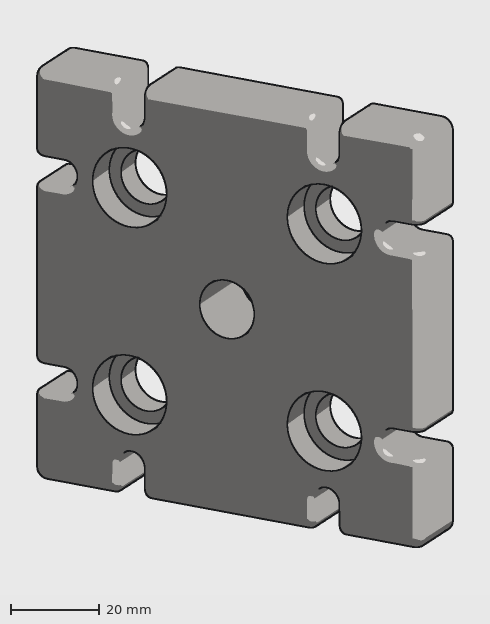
import cadquery as cq

side = 100.0
plate_thickness = 15.0
outer_round = 3.0

slot_width = 6.5
slot_depth = 11.0
slot_round = 1.5

pitch = 50.0
bolt_hole_diameter = 13.0
counterbore_diameter = 19.0
counterbore_depth = 8.0

boss_diameter = 23.4
boss_height = 5.0
boss_chamfer = 0.3
boss_foot_diameter = 24.0
boss_foot_height = 0.4
bore_diameter = 14.0

front_y = -plate_thickness
half_side = side / 2
half_pitch = pitch / 2
part_axis = [(0, 0)]
hole_places = [(x, z) for x in (-half_pitch, half_pitch) for z in (-half_pitch, half_pitch)]
quarter_turns = (0, 90, 180, 270)
tolerance = 0.01


def cylinders(places, diameter, start_y, end_y):
    """Cylinders along Y centred on the given (x, z) places."""
    return (
        cq.Workplane("XZ", origin=(0, start_y, 0))
        .pushPoints(places)
        .circle(diameter / 2)
        .extrude(start_y - end_y)
    )


def rounded_plate():
    """Plate with every outer edge rounded except those around the flat back."""
    plate = cq.Workplane("XY").box(side, plate_thickness, side).translate((0, front_y / 2, 0))
    return plate.edges("|Y or <Y").fillet(outer_round)


def slot_pair(angle):
    """The two slots of the top side, turned about Y to another side."""
    return (
        cq.Workplane("XZ")
        .pushPoints([(-half_pitch, half_side), (half_pitch, half_side)])
        .slot2D(2 * slot_depth, slot_width, 90)
        .extrude(plate_thickness)
        .rotate((0, 0, 0), (0, 1, 0), angle)
    )


def is_slot_rim(edge):
    """True where a slot wall meets the front or a side of the plate, but not the back."""
    box = edge.BoundingBox()
    center = edge.Center()
    along_side, toward_side = sorted((abs(center.x), abs(center.z)))
    in_slot = (
        abs(along_side - half_pitch) < slot_width / 2 + tolerance
        and toward_side > half_side - slot_depth - tolerance
    )
    on_front = box.ymax < front_y + tolerance
    on_side = max(box.xmax, -box.xmin, box.zmax, -box.zmin) > half_side - tolerance
    on_back = box.ymin > -tolerance
    return in_slot and (on_front or on_side) and not on_back


def slotted_plate():
    plate = rounded_plate()
    for angle in quarter_turns:
        plate = plate.cut(slot_pair(angle))
    rims = [edge for edge in plate.edges().vals() if is_slot_rim(edge)]
    return plate.newObject(rims).fillet(slot_round)


def centring_boss():
    boss = cylinders(part_axis, boss_diameter, 0, boss_height).faces(">Y").chamfer(boss_chamfer)
    return boss.union(cylinders(part_axis, boss_foot_diameter, 0, boss_foot_height))


result = (
    slotted_plate()
    .union(centring_boss())
    .cut(cylinders(hole_places, bolt_hole_diameter, front_y, 0))
    .cut(cylinders(hole_places, counterbore_diameter, front_y, front_y + counterbore_depth))
    .cut(cylinders(part_axis, bore_diameter, front_y, boss_height))
)